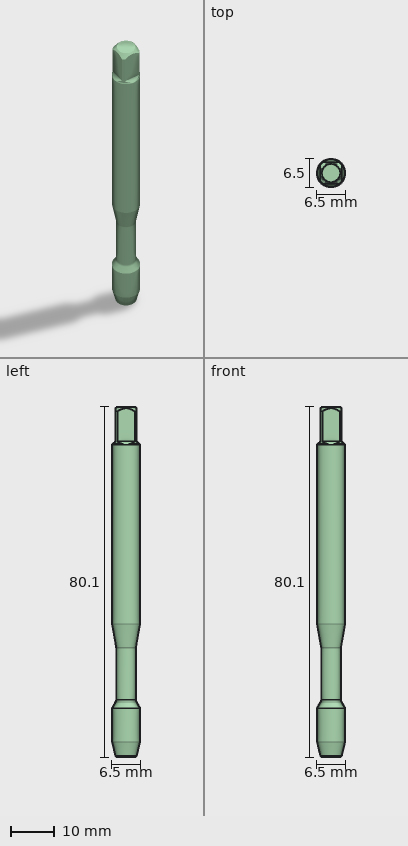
import cadquery as cq
import math

LENGTH = 80.1
SHANK_DIAMETER = 6.5
NECK_DIAMETER = 4.6
NECK_FILLET = 1.0

HEAD_DIAMETER = SHANK_DIAMETER
TIP_DIAMETER = 4.2
TIP_CHAMFER = 0.4
LEAD_TOP = 3.6
HEAD_SHOULDER = 11.2
BACK_CONE_HALF_ANGLE = 30.0

NECK_TOP = 25.1
SHANK_BOTTOM = 30.5
SHANK_TOP = 71.4
SHANK_TOP_CHAMFER_HEIGHT = 0.25

SQUARE_SIDE = 4.9
SQUARE_CORNER_DIAMETER = 6.25
SQUARE_BOTTOM = 72.2
DRIVE_TOP_DIAMETER = 4.2

shank_radius = SHANK_DIAMETER / 2
neck_radius = NECK_DIAMETER / 2
head_radius = HEAD_DIAMETER / 2
tip_radius = TIP_DIAMETER / 2
corner_radius = SQUARE_CORNER_DIAMETER / 2
drive_top_radius = DRIVE_TOP_DIAMETER / 2
top_chamfer = corner_radius - drive_top_radius

back_cone_angle = math.radians(BACK_CONE_HALF_ANGLE)
back_cone_tip = HEAD_SHOULDER + (head_radius - neck_radius) / math.tan(back_cone_angle)
back_fillet_tangent = NECK_FILLET * math.tan(back_cone_angle / 2)
back_fillet_radius = neck_radius + back_fillet_tangent * math.sin(back_cone_angle)
back_fillet_bottom = back_cone_tip - back_fillet_tangent * math.cos(back_cone_angle)
head_top = back_cone_tip + back_fillet_tangent

neck_cone_angle = math.atan2(shank_radius - neck_radius, SHANK_BOTTOM - NECK_TOP)
neck_fillet_tangent = NECK_FILLET * math.tan(neck_cone_angle / 2)
neck_fillet_bottom = NECK_TOP - neck_fillet_tangent
neck_fillet_top = NECK_TOP + neck_fillet_tangent * math.cos(neck_cone_angle)
neck_fillet_radius = neck_radius + neck_fillet_tangent * math.sin(neck_cone_angle)


def revolve(outline):
    """Close a (radius, height) outline and revolve it about the Z axis."""
    return outline.close().revolve(360, (0, 0), (0, 1))


def make_cutting_head():
    """Tapered lead, cylindrical cutting length and a filleted conical back end."""
    return revolve(
        cq.Workplane("XZ")
        .lineTo(tip_radius, 0)
        .lineTo(tip_radius + TIP_CHAMFER, TIP_CHAMFER)
        .lineTo(head_radius, LEAD_TOP)
        .lineTo(head_radius, HEAD_SHOULDER)
        .lineTo(back_fillet_radius, back_fillet_bottom)
        .radiusArc((neck_radius, head_top), NECK_FILLET)
        .lineTo(0, head_top)
    )


def make_turned_shank():
    """Neck, transition cone, shank and the round blank of the drive."""
    return revolve(
        cq.Workplane("XZ")
        .moveTo(0, head_top)
        .lineTo(neck_radius, head_top)
        .lineTo(neck_radius, neck_fillet_bottom)
        .radiusArc((neck_fillet_radius, neck_fillet_top), NECK_FILLET)
        .lineTo(shank_radius, SHANK_BOTTOM)
        .lineTo(shank_radius, SHANK_TOP)
        .lineTo(corner_radius, SHANK_TOP + SHANK_TOP_CHAMFER_HEIGHT)
        .lineTo(corner_radius, LENGTH - top_chamfer)
        .lineTo(drive_top_radius, LENGTH)
        .lineTo(0, LENGTH)
    )


def make_drive_cutter():
    """Material outside the square flats, which run out at 45 degrees at the bottom."""
    run_out = SQUARE_BOTTOM - SHANK_TOP
    run_out_side = SQUARE_SIDE + 2 * run_out
    square_bar = (
        cq.Workplane("XY")
        .workplane(offset=SQUARE_BOTTOM)
        .rect(SQUARE_SIDE, SQUARE_SIDE)
        .extrude(LENGTH - SQUARE_BOTTOM)
    )
    sloped_base = (
        cq.Workplane("XY")
        .workplane(offset=SHANK_TOP)
        .rect(run_out_side, run_out_side)
        .extrude(run_out, taper=45)
    )
    blank = (
        cq.Workplane("XY")
        .workplane(offset=SHANK_TOP)
        .rect(run_out_side, run_out_side)
        .extrude(LENGTH - SHANK_TOP)
    )
    return blank.cut(square_bar).cut(sloped_base)


cutting_head = make_cutting_head()
shank = make_turned_shank().cut(make_drive_cutter())

result = cq.Compound.makeCompound([cutting_head.val(), shank.val()])